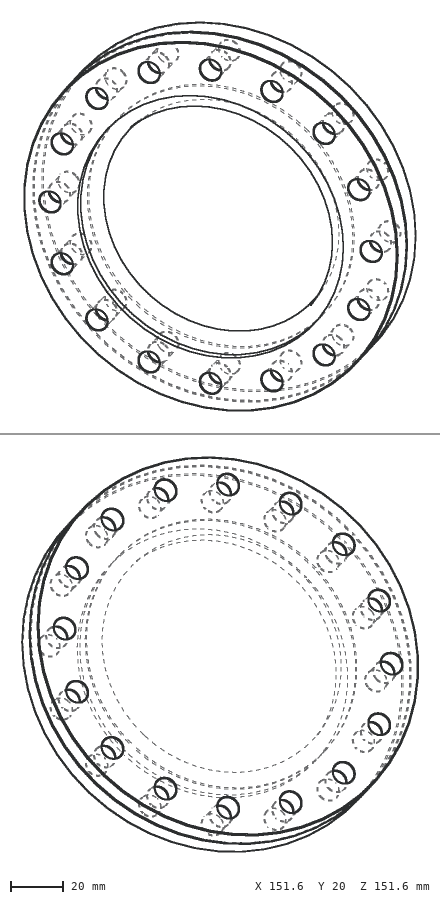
import cadquery as cq
import math

flange_diameter = 151.6
assembly_thickness = 20.0
flange_thickness = assembly_thickness / 2
rim_chamfer = 0.5

bolt_count = 16
bolt_circle_radius = 65.0
bolt_hole_diameter = 8.3
bolt_hole_chamfer = 0.3

hub_outer_radius = 107.7 / 2
hub_lip_inner_radius = 96.5 / 2
hub_bore_taper = 0.6
lip_setback = 0.9
hub_end_y = 11.5

lip_radius = (hub_outer_radius - hub_lip_inner_radius) / 2
lip_center_radius = (hub_outer_radius + hub_lip_inner_radius) / 2
lip_center_y = lip_setback + lip_radius
seat_depth = hub_end_y - flange_thickness


def disc(radius, start_y, length):
    """Cylinder on the Y axis, reaching from start_y towards +Y."""
    return cq.Workplane("XZ", origin=(0, start_y, 0)).circle(radius).extrude(-length)


def bolt_hole(x, z, start_y):
    """Cutter for one through hole with both rims chamfered."""
    radius = bolt_hole_diameter / 2
    rim_radius = radius + bolt_hole_chamfer
    profile = (
        cq.Workplane("XY")
        .lineTo(rim_radius, 0)
        .lineTo(radius, bolt_hole_chamfer)
        .lineTo(radius, flange_thickness - bolt_hole_chamfer)
        .lineTo(rim_radius, flange_thickness)
        .lineTo(0, flange_thickness)
        .close()
    )
    return profile.revolve(360, (0, 0, 0), (0, 1, 0)).translate((x, start_y, z))


def drilled_flange(start_y):
    """Disc with chamfered rims and the ring of bolt holes."""
    flange = disc(flange_diameter / 2, start_y, flange_thickness).edges().chamfer(rim_chamfer)
    for index in range(bolt_count):
        angle = 2 * math.pi * index / bolt_count
        x = bolt_circle_radius * math.cos(angle)
        z = bolt_circle_radius * math.sin(angle)
        flange = flange.cut(bolt_hole(x, z, start_y))
    return flange


def make_front_flange():
    """Ring flange bored through for the hub."""
    return drilled_flange(0).cut(disc(hub_outer_radius, 0, flange_thickness))


def make_blank_flange():
    """Closed flange with a shallow recess that seats the end of the hub."""
    seat = disc(hub_outer_radius, flange_thickness, seat_depth)
    return drilled_flange(flange_thickness).cut(seat)


def make_hub():
    """Tube with a half-round lip set just behind the front face."""
    profile = (
        cq.Workplane("XY")
        .moveTo(hub_lip_inner_radius - hub_bore_taper, hub_end_y)
        .lineTo(hub_lip_inner_radius, lip_center_y)
        .threePointArc((lip_center_radius, lip_setback), (hub_outer_radius, lip_center_y))
        .lineTo(hub_outer_radius, hub_end_y)
        .close()
    )
    return profile.revolve(360, (0, 0, 0), (0, 1, 0))


front_flange = make_front_flange().solids()
blank_flange = make_blank_flange().solids()
hub = make_hub()

result = cq.Compound.makeCompound([front_flange.val(), blank_flange.val(), hub.val()])